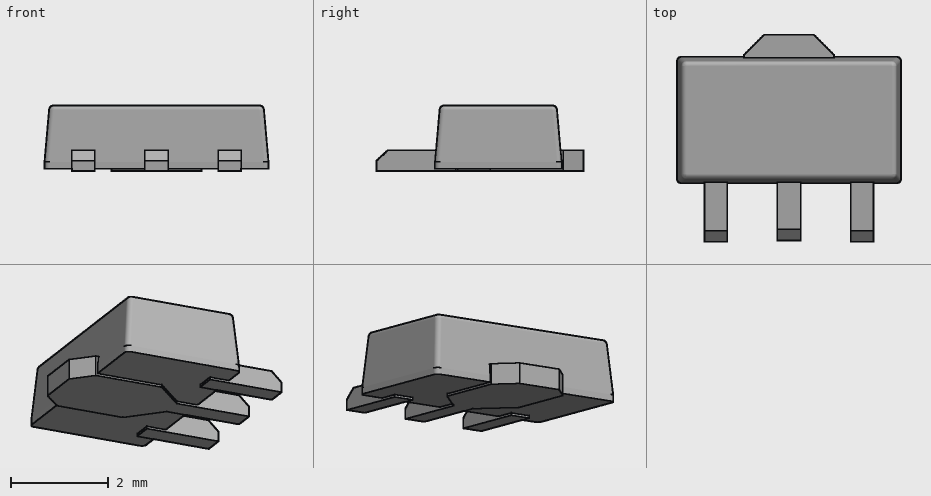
import cadquery as cq

body_standoff = 0.05
total_height = 1.35

body_length = 4.6
body_width = 2.6
band_height = 0.14
draft_angle = 5.0
edge_radius = 0.1
body_front = -body_width / 2
body_back = body_width / 2

metal_thickness = 0.43
tip_chamfer_length = 0.23
tip_chamfer_height = metal_thickness / 2

lead_pitch = 1.5
outer_lead_width = 0.47
outer_lead_reach = 1.2
outer_lead_inner_end = -0.87

centre_lead_width = 0.49
centre_lead_reach = 1.175
tab_width = 1.85
tab_reach = 0.45
tab_corner_chamfer = 0.415
taper_front = -0.83
taper_back = -0.16


def make_lead(width, reach, inner_end):
    """Flat lead centred on X = 0 with its upper tip edge chamfered."""
    tip = body_front - reach
    side_profile = [
        (inner_end, 0),
        (tip, 0),
        (tip, metal_thickness - tip_chamfer_height),
        (tip + tip_chamfer_length, metal_thickness),
        (inner_end, metal_thickness),
    ]
    return cq.Workplane("YZ").polyline(side_profile).close().extrude(width / 2, both=True)


def make_centre_tab():
    """Centre lead joined to the heat tab by slanted sides; the rear tab corners are chamfered."""
    half_lead = centre_lead_width / 2
    half_tab = tab_width / 2
    tab_end = body_back + tab_reach
    right_side = [
        (half_lead, taper_front),
        (half_tab, taper_back),
        (half_tab, tab_end - tab_corner_chamfer),
        (half_tab - tab_corner_chamfer, tab_end),
    ]
    left_side = [(-x, y) for x, y in reversed(right_side)]
    tab = cq.Workplane("XY").polyline(right_side + left_side).close().extrude(metal_thickness)
    return tab.union(make_lead(centre_lead_width, centre_lead_reach, taper_front))


def make_body_block():
    """Moulded body before the metal pockets are cut."""
    drafted_height = total_height - body_standoff - band_height
    band = (
        cq.Workplane("XY")
        .workplane(offset=body_standoff)
        .rect(body_length, body_width)
        .extrude(band_height)
        .edges("|Z")
        .fillet(edge_radius)
    )
    upper = (
        cq.Workplane("XY")
        .workplane(offset=body_standoff + band_height)
        .rect(body_length, body_width)
        .extrude(drafted_height, taper=draft_angle)
        .edges("not #Z")
        .fillet(edge_radius)
        .faces(">Z")
        .edges()
        .fillet(edge_radius)
    )
    return band.union(upper)


outer_leads = [
    make_lead(outer_lead_width, outer_lead_reach, outer_lead_inner_end).translate((side * lead_pitch, 0, 0))
    for side in (-1, 1)
]
centre_tab = make_centre_tab()

body = make_body_block().cut(centre_tab)
for lead in outer_leads:
    body = body.cut(lead)

result = cq.Compound.makeCompound([body.val(), centre_tab.val(), *[lead.val() for lead in outer_leads]])